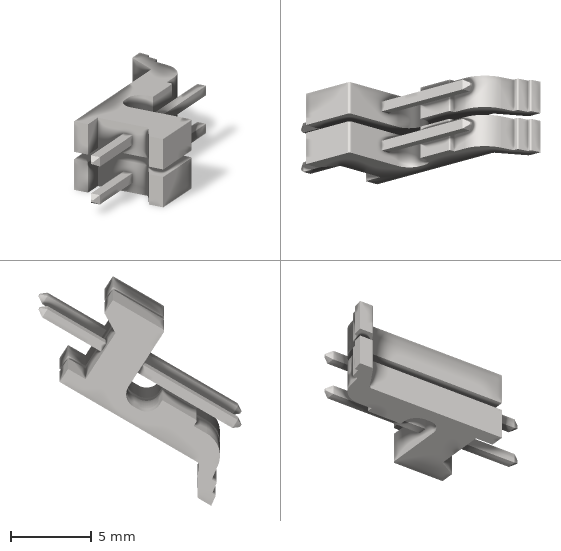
import cadquery as cq
import math

count = 2
pitch = 2.54
thickness = 2.03

base_right = 6.34
base_top = 3.82
base_corner_radius = 0.15
foot_height = 1.28
left_foot_width = 1.01
right_foot_width = 1.01
right_foot_slope_run = 0.75

spine_width = 1.91
pad_right = 2.33
pad_top = 8.64
pad_bottom = 6.09
notch_floor = 1.04
notch_radius = 0.95

tip_reach = 2.0
tip_top = 12.33
tooth_length = 0.75
first_step = 0.27
second_step = 0.38
top_slope = math.tan(math.radians(9))
underside_left = 11.32
underside_slope = math.tan(math.radians(30))
shoulder_radius = 1.7
underside_radius = 0.2
small_radius = 0.1

pin_x = 3.17
pin_width = 0.63
pin_bottom = tip_top - 15.77
pin_top = 11.3
point_length = 0.41
point_width = 0.15


def round_edge(body, x, y, radius):
    """Round the Z edge that passes closest to (x, y)."""
    edge = cq.selectors.NearestToPointSelector((x, y, thickness / 2))
    return body.edges("|Z").edges(edge).fillet(radius)


def make_housing(z):
    """Extruded latch profile with its pin hole, standing on height z."""
    tooth_drop = tooth_length * top_slope
    first_tooth_x = -tip_reach + tooth_length
    second_tooth_x = first_tooth_x + tooth_length
    first_tooth_y = tip_top - tooth_drop
    second_tooth_y = first_tooth_y - first_step - tooth_drop
    shoulder_left_y = second_tooth_y - second_step
    shoulder_y = shoulder_left_y - (spine_width - second_tooth_x) * top_slope
    underside_right = underside_left - tip_reach * underside_slope
    right_foot_left = base_right - right_foot_width

    profile = [
        (0, 0),
        (left_foot_width, 0),
        (left_foot_width, foot_height),
        (right_foot_left - right_foot_slope_run, foot_height),
        (right_foot_left, 0),
        (base_right, 0),
        (base_right, base_top),
        (notch_floor, base_top),
        (notch_floor, pad_bottom),
        (pad_right, pad_bottom),
        (pad_right, pad_top),
        (spine_width, pad_top),
        (spine_width, shoulder_y),
        (second_tooth_x, shoulder_left_y),
        (second_tooth_x, second_tooth_y),
        (first_tooth_x, first_tooth_y - first_step),
        (first_tooth_x, first_tooth_y),
        (-tip_reach, tip_top),
        (-tip_reach, underside_left),
        (0, underside_right),
    ]
    roundings = [
        (base_right, base_top, base_corner_radius),
        (notch_floor, base_top, notch_radius),
        (notch_floor, pad_bottom, notch_radius),
        (pad_right, pad_top, small_radius),
        (spine_width, shoulder_y, shoulder_radius),
        (second_tooth_x, second_tooth_y, small_radius),
        (first_tooth_x, first_tooth_y, small_radius),
        (-tip_reach, underside_left, underside_radius),
        (0, underside_right, underside_radius),
    ]
    body = cq.Workplane("XY").polyline(profile).close().extrude(thickness)
    for x, y, radius in roundings:
        body = round_edge(body, x, y, radius)

    hole = (
        cq.Workplane("XY")
        .box(pin_width, base_top, pin_width)
        .translate((pin_x, base_top / 2, thickness / 2))
    )
    return body.cut(hole).translate((0, 0, z))


def make_point(y_shoulder, y_end):
    """Blunt pyramid that narrows from the pin shank to its end."""
    normal = cq.Vector(0, y_end - y_shoulder, 0)
    plane = cq.Plane(origin=(pin_x, y_shoulder, 0), xDir=(1, 0, 0), normal=normal)
    return (
        cq.Workplane(plane)
        .rect(pin_width, pin_width)
        .workplane(offset=point_length)
        .rect(point_width, point_width)
        .loft(ruled=True)
    )


def make_pin(z):
    """Square pin, pointed at both ends, with its axis at height z."""
    shank_bottom = pin_bottom + point_length
    shank_top = pin_top - point_length
    shank_length = shank_top - shank_bottom
    shank = (
        cq.Workplane("XY")
        .box(pin_width, shank_length, pin_width)
        .translate((pin_x, (shank_bottom + shank_top) / 2, 0))
    )
    pin = shank.union(make_point(shank_bottom, pin_bottom)).union(make_point(shank_top, pin_top))
    return pin.translate((0, 0, z))


housings = []
pins = []
for i in range(count):
    housings.append(make_housing(i * pitch).val())
    pins.append(make_pin(i * pitch + thickness / 2).val())

result = cq.Compound.makeCompound([*housings, *pins])